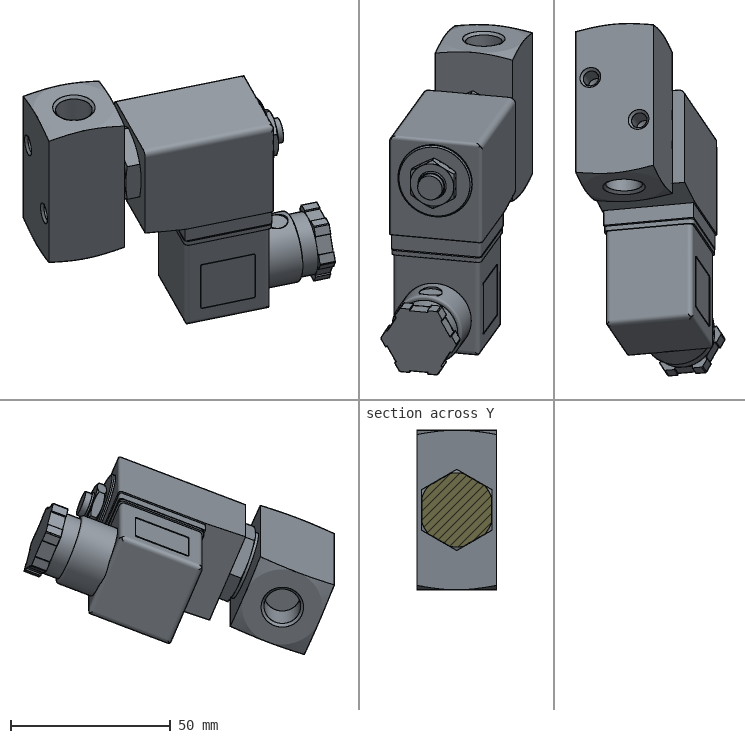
import cadquery as cq
import math


OVERALL_LENGTH = 94.9
OVERALL_HEIGHT = 83.0
HEX_SIDES = 6

BLOCK_WIDTH = 25.0
BLOCK_HEIGHT = 50.0
BLOCK_END_CHAMFER_ANGLE = 15.0
PORT_DIAMETER = 11.5
PORT_MOUTH_DIAMETER = 13.3
PORT_DEPTH = 12.3
MOUNTING_HOLE_DIAMETER = 4.9
MOUNTING_HOLE_MOUTH_DIAMETER = 6.6
MOUNTING_HOLE_OFFSET = 7.8
MOUNTING_HOLE_DEPTH = 7.6
DRILL_POINT_ANGLE = 118.0

COLLAR_DIAMETER = 22.0
COLLAR_LENGTH = 0.95
NECK_ACROSS_FLATS = 22.0
NECK_CHAMFER_ANGLE = 15.0
TUBE_DIAMETER = 10.1
WASHER_DIAMETER = 23.9
WASHER_THICKNESS = 1.0
WASHER_CHAMFER = 0.5
NUT_ACROSS_FLATS = 14.0
NUT_THICKNESS = 3.1
NUT_CHAMFER_ANGLE = 30.0
TIP_DIAMETER = 8.0
TIP_LENGTH = 2.7
TIP_CONE_START_DIAMETER = 9.1
TIP_CONE_END_DIAMETER = 8.4
TIP_CONE_LENGTH = 0.6

COIL_WIDTH = 30.0
COIL_FRONT = 18.5
COIL_REAR = 61.2
COIL_TOP = 13.4
COIL_BOTTOM = -19.5
COIL_TAPER_RISE = 1.7
COIL_LONG_EDGE_RADIUS = 2.0
COIL_REAR_EDGE_RADIUS = 1.0
BASE_WIDTH = 29.0
BASE_FRONT = 31.9
BASE_REAR = 60.8
BASE_BOTTOM = -24.5
BASE_REAR_RADIUS = 0.9
BLADE_WIDTH = 4.9
BLADE_THICKNESS = 0.9
BLADE_EDGE_RADIUS = 0.4
CONTACT_SPACING = 9.5
EARTH_BLADE_Y = 55.6

PLUG_TOP = -24.9
PLUG_BOTTOM = BLOCK_HEIGHT / 2 - OVERALL_HEIGHT
FLANGE_THICKNESS = 1.5
FLANGE_CORNER_RADIUS = 1.5
PLUG_WIDTH = 28.0
PLUG_FRONT = 32.3
PLUG_REAR = 60.2
PLUG_EDGE_RADIUS = 1.5
LABEL_LENGTH = 18.0
LABEL_HEIGHT = 17.0
LABEL_CENTER_Z = -43.9
LABEL_CORNER_RADIUS = 0.7
LABEL_DEPTH = 0.2
GLAND_AXIS_Z = -46.2
GLAND_DIAMETER = 22.8
GLAND_REAR = 72.1
GLAND_EDGE_RADIUS = 0.9
SCREW_POCKET_DIAMETER = 7.2
SCREW_POCKET_Y = 67.0
SCREW_POCKET_DEPTH = 0.7
GLAND_NECK_DIAMETER = 20.1
CAP_FRONT = 77.3
CAP_REAR = OVERALL_LENGTH - BLOCK_WIDTH / 2
CAP_ACROSS_FLATS = 21.25
CAP_CORNER_DIAMETER = 24.3
CAP_PANEL_WIDTH = 5.8

BLOCK_REAR = BLOCK_WIDTH / 2
COLLAR_REAR = BLOCK_REAR + COLLAR_LENGTH
NUT_FRONT = COIL_REAR + WASHER_THICKNESS
NUT_REAR = NUT_FRONT + NUT_THICKNESS
TIP_START = NUT_REAR + TIP_CONE_LENGTH
PLUG_CENTER_Y = (PLUG_FRONT + PLUG_REAR) / 2


def rod(diameter, start, end, z=0.0):
    """Round rod along Y between two positions."""
    solid = cq.Solid.makeCylinder(diameter / 2, end - start, cq.Vector(0, start, z), cq.Vector(0, 1, 0))
    return cq.Workplane(solid)


def cone(start_diameter, end_diameter, start, end):
    """Truncated cone around the Y axis between two positions."""
    radii = (start_diameter / 2, end_diameter / 2)
    return cq.Workplane(
        cq.Solid.makeCone(*radii, end - start, cq.Vector(0, start, 0), cq.Vector(0, 1, 0))
    )


def box(width, y_front, y_rear, z_bottom, z_top):
    """Box centred on X = 0."""
    center = (0, (y_front + y_rear) / 2, (z_bottom + z_top) / 2)
    return cq.Workplane().box(width, y_rear - y_front, z_top - z_bottom).translate(center)


def hex_prism(across_flats, start, end, z=0.0):
    """Hexagonal prism along Y with corners on the left and right."""
    across_corners = across_flats / math.cos(math.pi / HEX_SIDES)
    outline = cq.Workplane("XZ", origin=(0, start, z)).polygon(HEX_SIDES, across_corners)
    return outline.extrude(start - end)


def chamfered_hex(across_flats, chamfer_angle, start, end):
    """Hexagon around the Y axis, corners up and down, both ends turned to a cone."""
    prism = hex_prism(across_flats, start, end).rotate((0, 0, 0), (0, 1, 0), 90)
    corner_radius = across_flats / 2 / math.cos(math.pi / HEX_SIDES)
    chamfer_width = corner_radius - across_flats / 2
    chamfer_length = chamfer_width * math.tan(math.radians(chamfer_angle))
    envelope = rod(2 * corner_radius, start, end).edges().chamfer(chamfer_length, chamfer_width)
    return prism.intersect(envelope)


def block_envelope():
    """Revolved shape that cuts the block's ends to a shallow cone around a round face."""
    face_radius = BLOCK_WIDTH / 2
    corner_radius = face_radius * math.sqrt(2)
    drop = (corner_radius - face_radius) * math.tan(math.radians(BLOCK_END_CHAMFER_ANGLE))
    top = BLOCK_HEIGHT / 2
    profile = [
        (0, -top),
        (face_radius, -top),
        (corner_radius, drop - top),
        (corner_radius, top - drop),
        (face_radius, top),
        (0, top),
    ]
    return cq.Workplane("XZ").polyline(profile).close().revolve(360, (0, 0), (0, 1))


def countersunk_drill(diameter, mouth_diameter, depth, point_length):
    """Drill shape that enters downwards at Z = 0, with a 45 degree mouth."""
    radius = diameter / 2
    mouth_radius = mouth_diameter / 2
    profile = [
        (0, 0),
        (mouth_radius, 0),
        (radius, radius - mouth_radius),
        (radius, -depth),
        (0, -depth - point_length),
    ]
    return cq.Workplane("XZ").polyline(profile).close().revolve(360, (0, 0), (0, 1))


def make_block():
    block = box(BLOCK_WIDTH, -BLOCK_REAR, BLOCK_REAR, -BLOCK_HEIGHT / 2, BLOCK_HEIGHT / 2)
    block = block.intersect(block_envelope())

    port = countersunk_drill(PORT_DIAMETER, PORT_MOUTH_DIAMETER, PORT_DEPTH, 0)
    port = port.translate((0, 0, BLOCK_HEIGHT / 2))
    block = block.cut(port).cut(port.mirror("XY"))

    half_point = math.radians(DRILL_POINT_ANGLE / 2)
    point_length = MOUNTING_HOLE_DIAMETER / 2 / math.tan(half_point)
    drill = countersunk_drill(
        MOUNTING_HOLE_DIAMETER, MOUNTING_HOLE_MOUTH_DIAMETER, MOUNTING_HOLE_DEPTH, point_length
    )
    drill = drill.rotate((0, 0, 0), (1, 0, 0), 90)
    for side in (-1, 1):
        offset = side * MOUNTING_HOLE_OFFSET
        block = block.cut(drill.translate((offset, -BLOCK_REAR, -offset)))
    return block


def make_valve():
    washer = rod(WASHER_DIAMETER, COIL_REAR, NUT_FRONT).faces(">Y").edges().chamfer(WASHER_CHAMFER)
    tube_parts = [
        rod(COLLAR_DIAMETER, BLOCK_REAR, COLLAR_REAR),
        chamfered_hex(NECK_ACROSS_FLATS, NECK_CHAMFER_ANGLE, COLLAR_REAR, COIL_FRONT),
        rod(TUBE_DIAMETER, COIL_FRONT, COIL_REAR),
        washer,
        chamfered_hex(NUT_ACROSS_FLATS, NUT_CHAMFER_ANGLE, NUT_FRONT, NUT_REAR),
        cone(TIP_CONE_START_DIAMETER, TIP_CONE_END_DIAMETER, NUT_REAR, TIP_START),
        rod(TIP_DIAMETER, TIP_START, NUT_REAR + TIP_LENGTH),
    ]
    valve = make_block()
    for part in tube_parts:
        valve = valve.union(part)
    return valve


def make_terminals():
    """Two contact blades side by side and one earth blade across, bridging to the plug."""
    height = BASE_BOTTOM - PLUG_TOP
    blade = cq.Workplane().box(BLADE_THICKNESS, BLADE_WIDTH, height)
    blade = blade.edges("|Z").fillet(BLADE_EDGE_RADIUS)
    middle_z = (BASE_BOTTOM + PLUG_TOP) / 2
    terminals = blade.rotate((0, 0, 0), (0, 0, 1), 90).translate((0, EARTH_BLADE_Y, middle_z))
    for side in (-1, 1):
        terminals = terminals.add(blade.translate((side * CONTACT_SPACING / 2, PLUG_CENTER_Y, middle_z)))
    return terminals.combine()


def make_coil():
    outline = [
        (COIL_FRONT, COIL_TOP),
        (COIL_REAR, COIL_TOP),
        (COIL_REAR, COIL_BOTTOM),
        (BASE_FRONT, COIL_BOTTOM),
        (COIL_FRONT, COIL_BOTTOM + COIL_TAPER_RISE),
    ]
    coil = cq.Workplane("YZ").polyline(outline).close().extrude(COIL_WIDTH / 2, both=True)
    coil = coil.edges("|X and >Y and >Z").fillet(COIL_REAR_EDGE_RADIUS)

    block = box(COIL_WIDTH, COIL_FRONT, COIL_REAR, COIL_BOTTOM, COIL_TOP)
    coil = coil.intersect(block.edges("|Y and >Z").fillet(COIL_LONG_EDGE_RADIUS))
    coil = coil.intersect(block.edges("|Z and >Y").fillet(COIL_REAR_EDGE_RADIUS))

    base = box(BASE_WIDTH, BASE_FRONT, BASE_REAR, BASE_BOTTOM, COIL_BOTTOM)
    base = base.edges("|Z and >Y").fillet(BASE_REAR_RADIUS)
    coil = coil.union(base).union(make_terminals())
    return coil.cut(rod(TUBE_DIAMETER, COIL_FRONT, COIL_REAR))


def make_plug_body():
    flange_bottom = PLUG_TOP - FLANGE_THICKNESS
    block = box(PLUG_WIDTH, PLUG_FRONT, PLUG_REAR, PLUG_BOTTOM, flange_bottom)
    body = block
    for edges in ("|Z", "|X and <Z", "|Y and <Z"):
        body = body.intersect(block.edges(edges).fillet(PLUG_EDGE_RADIUS))

    flange = box(BASE_WIDTH, BASE_FRONT, BASE_REAR, flange_bottom, PLUG_TOP)
    flange = flange.edges("|Z").fillet(FLANGE_CORNER_RADIUS)

    label = cq.Workplane().box(LABEL_DEPTH, LABEL_LENGTH, LABEL_HEIGHT)
    label = label.edges("|X").fillet(LABEL_CORNER_RADIUS)
    for side in (-1, 1):
        x = side * (PLUG_WIDTH - LABEL_DEPTH) / 2
        body = body.cut(label.translate((x, PLUG_CENTER_Y, LABEL_CENTER_Z)))
    return body.union(flange)


def make_cap():
    """Hexagonal gland cap with blunted corners and a sunken panel in each side."""
    cap = hex_prism(CAP_ACROSS_FLATS, CAP_FRONT, CAP_REAR, GLAND_AXIS_Z)
    cap = cap.intersect(rod(CAP_CORNER_DIAMETER, CAP_FRONT, CAP_REAR, GLAND_AXIS_Z))
    panel_depth = (CAP_ACROSS_FLATS - GLAND_NECK_DIAMETER) / 2
    panel_bottom = GLAND_AXIS_Z + GLAND_NECK_DIAMETER / 2
    panel = box(CAP_PANEL_WIDTH, CAP_FRONT, CAP_REAR, panel_bottom, panel_bottom + panel_depth)
    for index in range(HEX_SIDES):
        cap = cap.cut(panel.rotate((0, 0, GLAND_AXIS_Z), (0, 1, GLAND_AXIS_Z), index * 360 / HEX_SIDES))
    return cap


def make_plug():
    gland = rod(GLAND_DIAMETER, PLUG_CENTER_Y, GLAND_REAR, GLAND_AXIS_Z)
    gland = gland.faces(">Y").edges().fillet(GLAND_EDGE_RADIUS)
    gland_top = GLAND_AXIS_Z + GLAND_DIAMETER / 2
    pocket = cq.Workplane(origin=(0, SCREW_POCKET_Y, gland_top))
    gland = gland.cut(pocket.circle(SCREW_POCKET_DIAMETER / 2).extrude(-SCREW_POCKET_DEPTH))
    neck = rod(GLAND_NECK_DIAMETER, GLAND_REAR, CAP_FRONT, GLAND_AXIS_Z)
    return make_plug_body().union(gland).union(neck).union(make_cap())


valve = make_valve()
coil = make_coil()
plug = make_plug()

result = cq.Compound.makeCompound([body.solids().val() for body in (valve, coil, plug)])